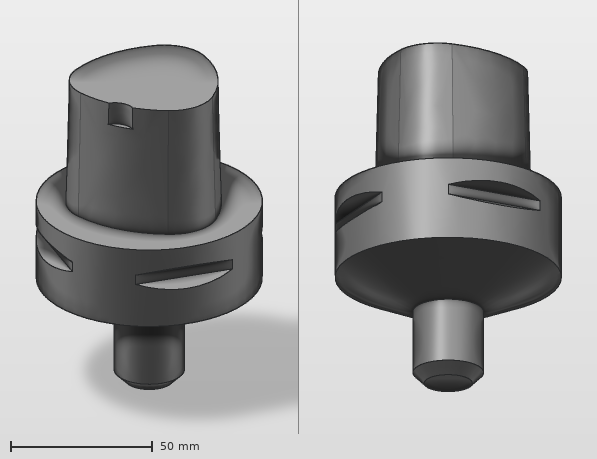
import cadquery as cq
import math


flange_diameter = 80.0
flange_height = 30.0
cone_height = 13.0
pin_diameter = 25.0
pin_length = 27.0
pin_chamfer = 4.0

shank_length = 48.0
shank_taper = math.degrees(math.atan(1 / 40))
lobe_count = 3
lobe_radius = 17.0
lobe_center_distance = 12.55
side_center_distance = 19.4
first_lobe_angle = 90.0

notch_width = 9.6
notch_back_rise = 2.0
notch_back = 22.25
notch_depth = 8.3

groove_angles = (45, 135, 225, 315)
groove_depth = 4.4
groove_center_z = -11.8
groove_floor_width = 3.6
groove_wall_angle = 30.0


def polar(radius, angle):
    """Point at a radius and an angle in degrees."""
    radians = math.radians(angle)
    return radius * math.cos(radians), radius * math.sin(radians)


def offset_polar(center, radius, angle):
    """Point at a radius and an angle in degrees from a center."""
    dx, dy = polar(radius, angle)
    return center[0] + dx, center[1] + dy


def make_body():
    """Flange, cone and chamfered pin turned as one profile."""
    flange_radius = flange_diameter / 2
    pin_radius = pin_diameter / 2
    cone_end = -flange_height - cone_height
    pin_end = cone_end - pin_length
    profile = [
        (0, 0),
        (flange_radius, 0),
        (flange_radius, -flange_height),
        (pin_radius, cone_end),
        (pin_radius, pin_end + pin_chamfer),
        (pin_radius - pin_chamfer, pin_end),
        (0, pin_end),
    ]
    return cq.Workplane("XZ").polyline(profile).close().revolve(360, (0, 0), (0, 1))


def make_shank():
    """Tapered shank on an outline of alternating tangent lobe and side arcs."""
    lobe_pitch = 360 / lobe_count
    side_offset = lobe_pitch / 2
    lobe_center = (lobe_center_distance, 0)
    side_center = polar(side_center_distance, side_offset + 180)
    line_x = lobe_center[0] - side_center[0]
    line_y = lobe_center[1] - side_center[1]
    joint_angle = abs(math.degrees(math.atan2(line_y, line_x)))
    side_radius = lobe_radius + math.hypot(line_x, line_y)
    lobe_tip = lobe_center_distance + lobe_radius
    side_middle = side_radius - side_center_distance

    def lobe_point(lobe_angle, arc_angle):
        """Point on the lobe arc at lobe_angle, turned by arc_angle from its tip."""
        center = polar(lobe_center_distance, lobe_angle)
        return offset_polar(center, lobe_radius, lobe_angle + arc_angle)

    outline = cq.Workplane("XY").moveTo(*lobe_point(first_lobe_angle, -joint_angle))
    for index in range(lobe_count):
        angle = first_lobe_angle + index * lobe_pitch
        lobe_end = lobe_point(angle, joint_angle)
        side_end = lobe_point(angle + lobe_pitch, -joint_angle)
        outline = outline.threePointArc(polar(lobe_tip, angle), lobe_end)
        outline = outline.threePointArc(polar(side_middle, angle + side_offset), side_end)
    return outline.close().extrude(shank_length, taper=shank_taper)


def make_notch():
    """Straight-walled cutter with an arched back, reaching down from the shank's top face."""
    half_width = notch_width / 2
    wall_y = -notch_back - notch_back_rise
    open_y = -flange_diameter / 2
    return (
        cq.Workplane("XY", origin=(0, 0, shank_length - notch_depth))
        .moveTo(-half_width, open_y)
        .lineTo(-half_width, wall_y)
        .threePointArc((0, -notch_back), (half_width, wall_y))
        .lineTo(half_width, open_y)
        .close()
        .extrude(notch_depth)
    )


def make_groove(angle):
    """Straight groove with a flat floor and sloping walls, at an angle about Z."""
    floor_x = flange_diameter / 2 - groove_depth
    mouth_x = flange_diameter / 2
    floor_half = groove_floor_width / 2
    mouth_half = floor_half + groove_depth * math.tan(math.radians(groove_wall_angle))
    section = [
        (floor_x, groove_center_z - floor_half),
        (mouth_x, groove_center_z - mouth_half),
        (mouth_x, groove_center_z + mouth_half),
        (floor_x, groove_center_z + floor_half),
    ]
    cutter = cq.Workplane("XZ").polyline(section).close().extrude(flange_diameter / 2, both=True)
    return cutter.rotate((0, 0, 0), (0, 0, 1), angle)


result = make_body().union(make_shank()).cut(make_notch())
for groove_angle in groove_angles:
    result = result.cut(make_groove(groove_angle))